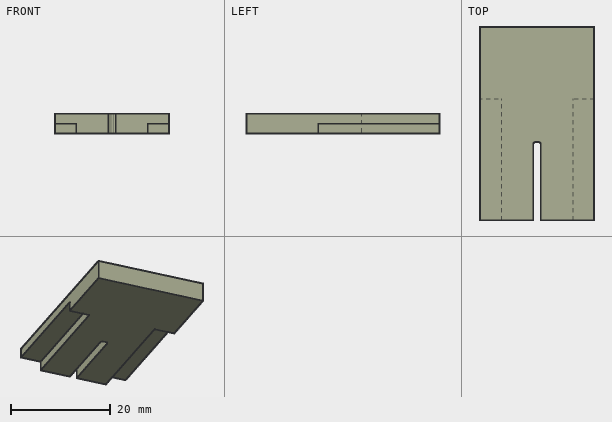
import cadquery as cq

width = 23.0
length = 39.0
thickness = 4.0

step_width = 4.33
step_length = 24.5
step_height = 2.0

slot_width = 1.5
slot_length = 15.8
slot_corner_radius = 0.5

front_y = -length / 2


def make_plate():
    return cq.Workplane("XY").box(width, length, thickness, centered=(True, True, False))


def make_edge_step(side):
    """Block removed below one long edge; side is -1 or +1 along X."""
    return (
        cq.Workplane("XY")
        .center(side * (width - step_width) / 2, front_y + step_length / 2)
        .rect(step_width, step_length)
        .extrude(step_height)
    )


def make_slot():
    """Through slot with rounded corners at its closed end."""
    return (
        cq.Workplane("XY")
        .center(0, front_y + slot_length / 2)
        .rect(slot_width, slot_length)
        .extrude(thickness)
        .edges("|Z and >Y")
        .fillet(slot_corner_radius)
    )


result = make_plate().cut(make_slot())
for side in (-1, 1):
    result = result.cut(make_edge_step(side))